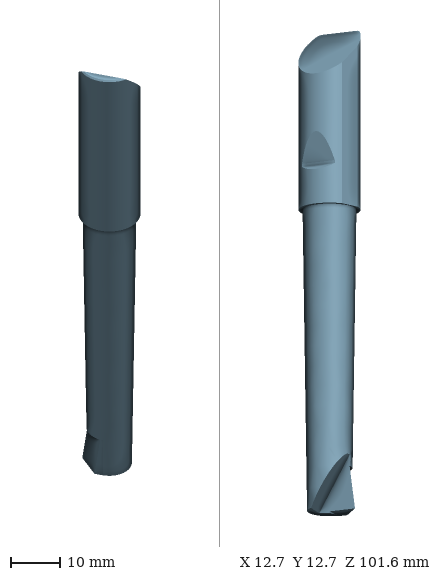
import cadquery as cq
import math

total_length = 101.6
shank_radius = 6.35
shoulder_z = 63.5
neck_top_radius = 5.5
tip_radius = 4.6
tip_point_rise = 0.4

clearance = 1

bevel_start_y = -4.5
rim_chamfer = 0.3
side_flat_y = 4.1
notch_bottom_z = 70.7
notch_floor_low_z = 71.8
notch_floor_high_z = 72.4
notch_top_z = 78.6
notch_depth = 1.2

relief_top_z = 11.7
relief_bottom_x = 2.4
insert_top_z = 9.3
insert_bottom_z = 0.3
insert_front_y = -4.5
insert_top_left_x = -4.6
insert_top_right_x = -0.6
insert_bottom_shift = -1.2
insert_overlap = 0.4


def revolved_body():
    """Shank, tapered neck and shallow tip point in one revolution."""
    return (
        cq.Workplane("XZ")
        .moveTo(0, 0)
        .lineTo(tip_radius, tip_point_rise)
        .lineTo(neck_top_radius, shoulder_z)
        .lineTo(shank_radius, shoulder_z)
        .lineTo(shank_radius, total_length - rim_chamfer)
        .lineTo(shank_radius - rim_chamfer, total_length)
        .lineTo(0, total_length)
        .close()
        .revolve(360, (0, 0), (0, 1))
    )


def end_bevel():
    """Wedge removed above the 45 degree plane at the shank end."""
    run = shank_radius + clearance - bevel_start_y
    return (
        cq.Workplane("YZ")
        .moveTo(bevel_start_y, total_length)
        .lineTo(bevel_start_y + run, total_length)
        .lineTo(bevel_start_y + run, total_length - run)
        .close()
        .extrude(shank_radius + clearance, both=True)
    )


def side_flat():
    """Flat along the shank, on the chord from y = 0 to side_flat_y."""
    chord_end_x = -math.sqrt(shank_radius**2 - side_flat_y**2)
    return (
        cq.Workplane("XY", origin=(0, 0, shoulder_z))
        .moveTo(-shank_radius, 0)
        .lineTo(chord_end_x, side_flat_y)
        .lineTo(-shank_radius - clearance, side_flat_y)
        .lineTo(-shank_radius - clearance, 0)
        .close()
        .extrude(total_length - shoulder_z)
    )


def clamping_notch():
    """Shallow notch across the +Y side of the shank."""
    floor_y = shank_radius - notch_depth
    return (
        cq.Workplane("YZ")
        .moveTo(shank_radius + clearance, notch_bottom_z)
        .lineTo(shank_radius, notch_bottom_z)
        .lineTo(floor_y, notch_floor_low_z)
        .lineTo(floor_y, notch_floor_high_z)
        .lineTo(shank_radius, notch_top_z)
        .lineTo(shank_radius + clearance, notch_top_z)
        .close()
        .extrude(shank_radius + clearance, both=True)
    )


def chip_relief():
    """Sloping cut that clears the +Y half of the tip."""
    return (
        cq.Workplane("XZ")
        .moveTo(-shank_radius, 0)
        .lineTo(relief_bottom_x, 0)
        .lineTo(-tip_radius, relief_top_z)
        .lineTo(-shank_radius, relief_top_z)
        .close()
        .extrude(-shank_radius)
    )


def insert_pocket():
    """Quarter of the tip that the cutting insert replaces."""
    return cq.Workplane("XY").box(
        shank_radius, shank_radius, insert_top_z, centered=False
    ).translate((-shank_radius, -shank_radius, 0))


def insert_section(shift):
    """Corners of the insert, seated into the body, with its slanted side moved along X by shift."""
    return [
        (insert_overlap, 0),
        (insert_top_left_x + shift, 0),
        (insert_top_right_x + shift, insert_front_y),
        (insert_overlap, insert_front_y),
    ]


def cutting_insert():
    """Insert that leans outward toward its cutting edge at the bottom."""
    return (
        cq.Workplane("XY", origin=(0, 0, insert_bottom_z))
        .polyline(insert_section(insert_bottom_shift))
        .close()
        .workplane(offset=insert_top_z - insert_bottom_z)
        .polyline(insert_section(0))
        .close()
        .loft(ruled=True)
    )


shank_and_neck = revolved_body().cut(end_bevel()).cut(side_flat()).cut(clamping_notch())
result = shank_and_neck.cut(chip_relief()).cut(insert_pocket()).union(cutting_insert())